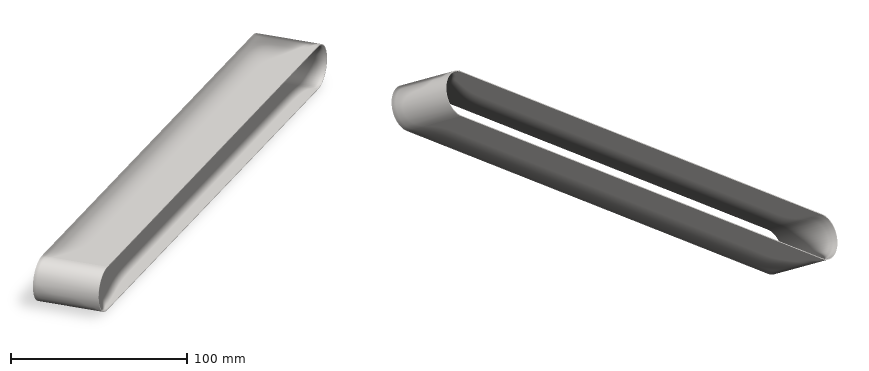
import cadquery as cq

belt_width = 40.0
belt_length = 348.0
belt_height = 27.0
belt_thickness = 0.5


def stadium_prism(length, height):
    """Solid with a round-ended outline in the YZ plane, centred on the origin."""
    return (
        cq.Workplane("YZ")
        .slot2D(length, height)
        .extrude(belt_width / 2, both=True)
    )


outer_body = stadium_prism(belt_length, belt_height)
inner_opening = stadium_prism(
    belt_length - 2 * belt_thickness,
    belt_height - 2 * belt_thickness,
)

result = outer_body.cut(inner_opening)